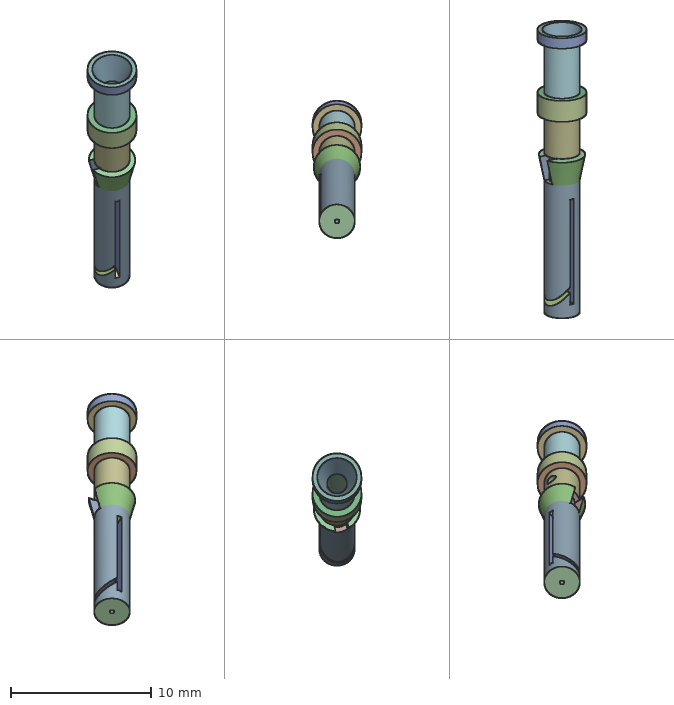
import cadquery as cq
import math

length = 21.6
body_radius = 1.27
flange_radius = 1.75
flange_height = 0.8
shoulder_bottom = 15.2
shoulder_height = 1.6

groove_bottom = 10.15
groove_top = 12.18
groove_radius = 0.9
clip_top = 12.05
clip_top_radius = 1.66
clip_gap_width = 0.97

funnel_radius = 1.4
funnel_depth = 2.0
bore_radius = 0.71
bore_bottom = 12.95
drill_tip_angle = 118.0
through_radius = 0.15

inspection_diameter = 0.8
inspection_z = 14.0
slot_width = 0.32
slot_bottom = 1.0
slot_top = 9.0
relief_lower_z = 0.8
relief_upper_z = 1.2


def cylinder(radius, bottom, top):
    return cq.Workplane("XY").workplane(offset=bottom).circle(radius).extrude(top - bottom)


def turned_body():
    body = cylinder(body_radius, 0, length)
    body = body.union(cylinder(flange_radius, length - flange_height, length))
    body = body.union(cylinder(flange_radius, shoulder_bottom, shoulder_bottom + shoulder_height))
    groove = cylinder(flange_radius, groove_bottom, groove_top)
    groove = groove.cut(cylinder(groove_radius, groove_bottom, groove_top))
    return body.cut(groove)


def retaining_clip():
    """Tapered ring, split at -Y by a parallel-sided gap."""
    profile = [
        (groove_radius, groove_bottom),
        (body_radius, groove_bottom),
        (clip_top_radius, clip_top),
        (groove_radius, clip_top),
    ]
    ring = cq.Workplane("XZ").polyline(profile).close().revolve(360, (0, 0), (0, 1))
    clip_height = clip_top - groove_bottom
    gap = cq.Workplane("XY").box(
        clip_gap_width, clip_top_radius, clip_height, centered=(True, False, False)
    )
    gap = gap.translate((0, -clip_top_radius, groove_bottom))
    return ring.cut(gap)


def wire_entry():
    """Funnel, bore and drill tip, opening into a narrow hole through to the bottom."""
    tip_height = (bore_radius - through_radius) / math.tan(math.radians(drill_tip_angle / 2))
    profile = [
        (0, 0),
        (through_radius, 0),
        (through_radius, bore_bottom - tip_height),
        (bore_radius, bore_bottom),
        (bore_radius, length - funnel_depth),
        (funnel_radius, length),
        (0, length),
    ]
    return cq.Workplane("XZ").polyline(profile).close().revolve(360, (0, 0), (0, 1))


def inspection_hole():
    return (
        cq.Workplane("YZ").center(0, inspection_z)
        .circle(inspection_diameter / 2).extrude(-flange_radius)
    )


def contact_slots():
    """Lengthwise slot across X, with a 45 degree relief slot running down to the -Y side."""
    slot_length = slot_top - slot_bottom
    slot = cq.Workplane("XY").box(2 * body_radius, slot_width, slot_length)
    slot = slot.translate((0, 0, (slot_bottom + slot_top) / 2))
    outer_y = -flange_radius
    overshoot = flange_radius - body_radius
    relief_profile = [
        (0, relief_lower_z + body_radius),
        (0, relief_upper_z + body_radius),
        (outer_y, relief_upper_z - overshoot),
        (outer_y, relief_lower_z - overshoot),
    ]
    relief = cq.Workplane("YZ").polyline(relief_profile).close().extrude(body_radius, both=True)
    return slot.union(relief)


result = (
    turned_body()
    .union(retaining_clip())
    .cut(wire_entry())
    .cut(inspection_hole())
    .cut(contact_slots())
)